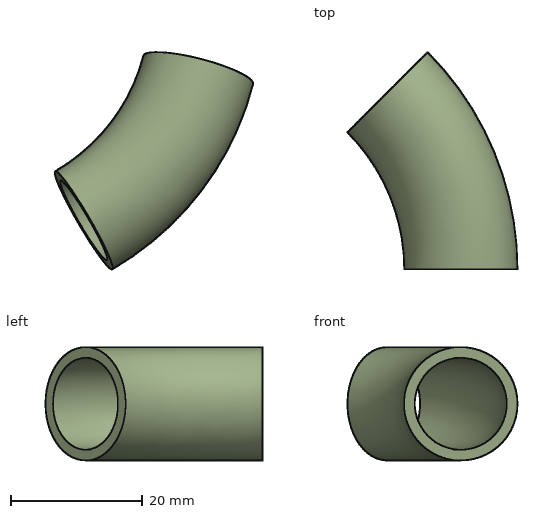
import cadquery as cq

outer_diameter = 17.3
bore_diameter = 14.0
bend_radius = 38.15
bend_angle = 45.0


def make_elbow():
    """Tube starting at the origin, facing -Y, and bending from +Y towards -X."""
    ring = cq.Workplane("XZ").circle(outer_diameter / 2).circle(bore_diameter / 2)
    axis_start = (-bend_radius, 0)
    axis_end = (-bend_radius, 1)
    return ring.revolve(bend_angle, axis_start, axis_end)


result = make_elbow()